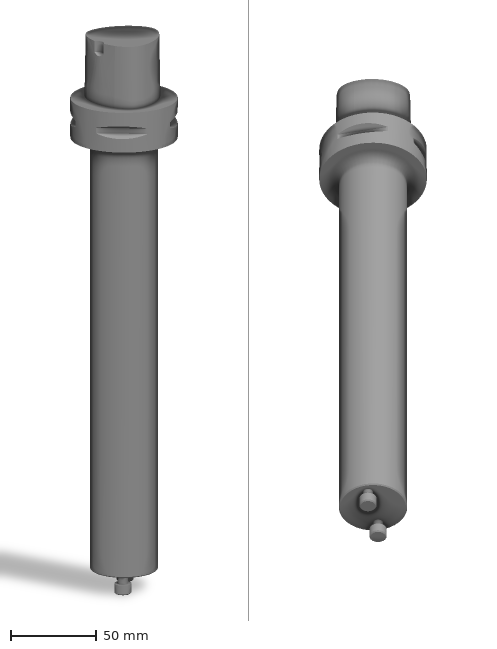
import cadquery as cq
import math

TOTAL_HEIGHT = 337.0
FLANGE_TOP = 299.3
FLANGE_BOTTOM = 275.0
BAR_BOTTOM = 11.0

FLANGE_DIAMETER = 63.0
BAR_DIAMETER = 40.0
NECK_FILLET = 5.0
BAR_CHAMFER = 0.7

SHANK_BASE_RADIUS = 22.2
SHANK_TOP_RADIUS = 21.5
LOBE_HEIGHT = 1.5
LOBE_COUNT = 3
LOBE_HALF_ANGLE = 38.0
SPANS_PER_FACE = 6

NOTCH_RADIUS = 4.5
NOTCH_OFFSET = 22.0
NOTCH_WALL_DEPTH = 6.7
NOTCH_TIP_HEIGHT = 2.7

GROOVE_COUNT = 4
GROOVE_FLOOR_DISTANCE = 27.5
GROOVE_FLOOR_WIDTH = 3.5
GROOVE_MOUTH_WIDTH = 7.8
GROOVE_CENTRE_Z = (FLANGE_TOP + FLANGE_BOTTOM) / 2

BOLT_CIRCLE_RADIUS = 13.5
BOLT_ANGLES = (-45, 135)
BOLT_NECK_DIAMETER = 6.0
BOLT_HEAD_DIAMETER = 10.0
BOLT_HEAD_HEIGHT = 6.0
BOLT_HEAD_CHAMFER = 0.7


def lobed_point(mean_radius, degrees):
    """Point of the lobed outline whose outward normal lies at the given angle from the +Y lobe."""
    turn = math.radians(degrees)
    normal = turn + math.pi / 2
    reach = mean_radius + LOBE_HEIGHT * math.cos(LOBE_COUNT * turn)
    slide = -LOBE_COUNT * LOBE_HEIGHT * math.sin(LOBE_COUNT * turn)
    x = reach * math.cos(normal) - slide * math.sin(normal)
    y = reach * math.sin(normal) + slide * math.cos(normal)
    return cq.Vector(x, y, 0)


def lobed_edge(mean_radius, height, start, end):
    """Smooth stretch of the lobed outline between two normal angles."""
    step = (end - start) / SPANS_PER_FACE
    lift = cq.Vector(0, 0, height)
    points = [lobed_point(mean_radius, start + i * step) + lift for i in range(SPANS_PER_FACE + 1)]
    normals = [math.radians(angle + 90) for angle in (start, end)]
    tangents = [cq.Vector(-math.sin(normal), math.cos(normal), 0) for normal in normals]
    return cq.Edge.makeSpline(points, tangents=tangents)


def lobed_wire(mean_radius, height):
    """Closed outline of alternating lobe and flank curves."""
    pitch = 360 / LOBE_COUNT
    edges = []
    for lobe in range(LOBE_COUNT):
        centre = lobe * pitch
        lobe_end = centre + LOBE_HALF_ANGLE
        flank_end = centre + pitch - LOBE_HALF_ANGLE
        edges.append(lobed_edge(mean_radius, height, centre - LOBE_HALF_ANGLE, lobe_end))
        edges.append(lobed_edge(mean_radius, height, lobe_end, flank_end))
    return cq.Wire.assembleEdges(edges)


def make_shank():
    base = lobed_wire(SHANK_BASE_RADIUS, FLANGE_TOP)
    top = lobed_wire(SHANK_TOP_RADIUS, TOTAL_HEIGHT)
    return cq.Workplane(cq.Solid.makeLoft([base, top], True))


def make_round_body():
    """Bar and flange turned as one piece, with a concave fillet between them."""
    bar_radius = BAR_DIAMETER / 2
    flange_radius = FLANGE_DIAMETER / 2
    fillet_mid = NECK_FILLET * (1 - math.sqrt(0.5))
    return (
        cq.Workplane("XZ")
        .moveTo(0, BAR_BOTTOM)
        .lineTo(bar_radius - BAR_CHAMFER, BAR_BOTTOM)
        .lineTo(bar_radius, BAR_BOTTOM + BAR_CHAMFER)
        .lineTo(bar_radius, FLANGE_BOTTOM - NECK_FILLET)
        .threePointArc(
            (bar_radius + fillet_mid, FLANGE_BOTTOM - fillet_mid),
            (bar_radius + NECK_FILLET, FLANGE_BOTTOM),
        )
        .lineTo(flange_radius, FLANGE_BOTTOM)
        .lineTo(flange_radius, FLANGE_TOP)
        .lineTo(0, FLANGE_TOP)
        .close()
        .revolve(360, (0, 0, 0), (0, 1, 0))
    )


def make_notch():
    """Vertical drilled pocket with a conical tip."""
    wall_bottom = TOTAL_HEIGHT - NOTCH_WALL_DEPTH
    return (
        cq.Workplane("XZ")
        .moveTo(0, TOTAL_HEIGHT)
        .lineTo(NOTCH_RADIUS, TOTAL_HEIGHT)
        .lineTo(NOTCH_RADIUS, wall_bottom)
        .lineTo(0, wall_bottom - NOTCH_TIP_HEIGHT)
        .close()
        .revolve(360, (0, 0, 0), (0, 1, 0))
        .translate((0, -NOTCH_OFFSET, 0))
    )


def make_groove():
    """Straight flat-floored groove with flared walls, facing +X."""
    floor_half = GROOVE_FLOOR_WIDTH / 2
    mouth_half = GROOVE_MOUTH_WIDTH / 2
    mouth_distance = FLANGE_DIAMETER / 2
    return (
        cq.Workplane("XZ")
        .moveTo(GROOVE_FLOOR_DISTANCE, GROOVE_CENTRE_Z - floor_half)
        .lineTo(mouth_distance, GROOVE_CENTRE_Z - mouth_half)
        .lineTo(mouth_distance, GROOVE_CENTRE_Z + mouth_half)
        .lineTo(GROOVE_FLOOR_DISTANCE, GROOVE_CENTRE_Z + floor_half)
        .close()
        .extrude(FLANGE_DIAMETER / 2, both=True)
    )


def make_bolt():
    head = (
        cq.Workplane("XY")
        .circle(BOLT_HEAD_DIAMETER / 2)
        .extrude(BOLT_HEAD_HEIGHT)
        .faces("<Z")
        .chamfer(BOLT_HEAD_CHAMFER)
    )
    neck = cq.Workplane("XY").circle(BOLT_NECK_DIAMETER / 2).extrude(BAR_BOTTOM)
    return head.union(neck)


result = make_round_body().union(make_shank()).cut(make_notch())

groove_pitch = 360 / GROOVE_COUNT
for index in range(GROOVE_COUNT):
    angle = groove_pitch / 2 + index * groove_pitch
    result = result.cut(make_groove().rotate((0, 0, 0), (0, 0, 1), angle))

for angle in BOLT_ANGLES:
    bolt = make_bolt().translate((BOLT_CIRCLE_RADIUS, 0, 0))
    result = result.union(bolt.rotate((0, 0, 0), (0, 0, 1), angle))